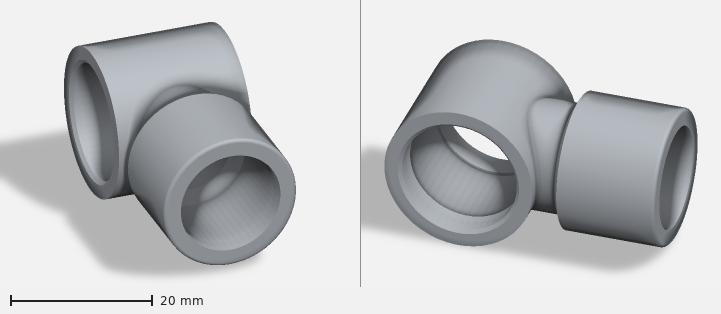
import cadquery as cq

sleeve_diameter = 22
sleeve_length = 20
bore_diameter = 17.0
bore_mouth_diameter = 18
recess_diameter = 18
land_length = 4

overall_length = 40
neck_diameter = 16
shoulder_diameter = 20
neck_end = 13.45
shoulder_end = 14.5
end_round = 0.5
neck_blend = 0.5
shoulder_blend = 0.5
branch_bore_diameter = 11.0
branch_bore_end = 13.75

sleeve_radius = sleeve_diameter / 2
branch_end = overall_length - sleeve_radius
branch_wall = (neck_diameter - branch_bore_diameter) / 2
mouth_chamfer = (bore_mouth_diameter - bore_diameter) / 2


def cylinder_y(diameter, length):
    """Cylinder along Y, centred on the origin."""
    return cq.Workplane("XZ").circle(diameter / 2).extrude(length / 2, both=True)


def make_branch():
    """Neck, conical shoulder and end cylinder revolved about X."""
    neck_radius = neck_diameter / 2
    shoulder_radius = shoulder_diameter / 2
    return (
        cq.Workplane("XY")
        .lineTo(0, neck_radius)
        .lineTo(neck_end, neck_radius)
        .lineTo(shoulder_end, shoulder_radius)
        .lineTo(branch_end - end_round, shoulder_radius)
        .radiusArc((branch_end, shoulder_radius - end_round), end_round)
        .lineTo(branch_end, 0)
        .close()
        .revolve(360, (0, 0, 0), (1, 0, 0))
    )


def make_sleeve_bore():
    """Chamfered bore with a wider recess between its two end lands."""
    half = sleeve_length / 2
    bore_radius = bore_diameter / 2
    mouth_radius = bore_mouth_diameter / 2
    recess_radius = recess_diameter / 2
    recess_half = half - land_length
    return (
        cq.Workplane("XY")
        .moveTo(0, -half)
        .lineTo(mouth_radius, -half)
        .lineTo(bore_radius, -half + mouth_chamfer)
        .lineTo(bore_radius, -recess_half)
        .lineTo(recess_radius, -recess_half)
        .lineTo(recess_radius, recess_half)
        .lineTo(bore_radius, recess_half)
        .lineTo(bore_radius, half - mouth_chamfer)
        .lineTo(mouth_radius, half)
        .lineTo(0, half)
        .close()
        .revolve(360, (0, 0, 0), (0, 1, 0))
    )


def make_branch_bore():
    """Narrow bore opening through a cone, parallel to the shoulder, into a wide socket."""
    bore_radius = branch_bore_diameter / 2
    socket_radius = shoulder_diameter / 2 - branch_wall
    cone_end = branch_bore_end + shoulder_end - neck_end
    return (
        cq.Workplane("XY")
        .lineTo(0, bore_radius)
        .lineTo(branch_bore_end, bore_radius)
        .lineTo(cone_end, socket_radius)
        .lineTo(branch_end, socket_radius)
        .lineTo(branch_end, 0)
        .close()
        .revolve(360, (0, 0, 0), (1, 0, 0))
    )


sleeve = cylinder_y(sleeve_diameter, sleeve_length)
body = sleeve.union(make_branch())

side = neck_diameter / 2 + 0.4
joint_zone = cq.selectors.BoxSelector(
    (0, -side, -side), (sleeve_radius + 0.4, side, side), boundingbox=True
)
body = body.edges(joint_zone).fillet(neck_blend)

foot_margin = 0.05
foot_zone = cq.selectors.BoxSelector(
    (neck_end - foot_margin, -side, -side),
    (neck_end + foot_margin, side, side),
    boundingbox=True,
)
body = body.edges(foot_zone).fillet(shoulder_blend)

result = body.cut(make_sleeve_bore()).cut(make_branch_bore())